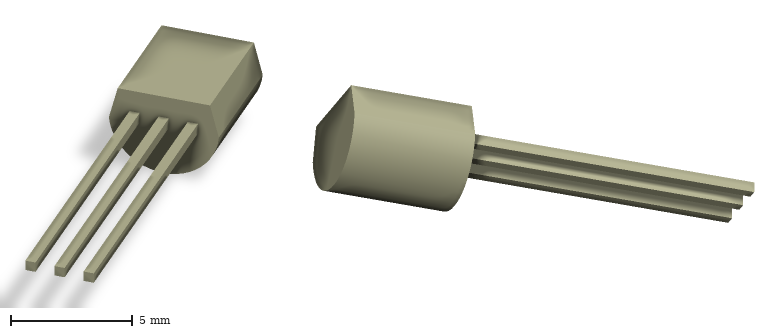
import cadquery as cq

total_length = 18.03
body_length = 5.34
body_width = 4.83
body_height = 3.68

flat_width = 4.05
slope_height = 1.48
arc_depth = body_height - slope_height

lead_count = 3
lead_side = 0.45
lead_pitch = 1.28
lead_top_below_flat = 1.0
lead_length = total_length - body_length


def make_body():
    """Moulded package; its lead face lies on Y = 0 and its widest level on Z = 0."""
    profile = (
        cq.Workplane("XZ")
        .moveTo(-flat_width / 2, slope_height)
        .lineTo(flat_width / 2, slope_height)
        .lineTo(body_width / 2, 0)
        .threePointArc((0, -arc_depth), (-body_width / 2, 0))
        .close()
    )
    return profile.extrude(-body_length)


def make_lead(x):
    """One straight square lead centred at x, running from the lead face toward -Y."""
    lead_z = slope_height - lead_top_below_flat - lead_side / 2
    return (
        cq.Workplane("XZ")
        .center(x, lead_z)
        .rect(lead_side, lead_side)
        .extrude(lead_length)
    )


body = make_body()

leads = []
for index in range(lead_count):
    lead_x = (index - (lead_count - 1) / 2) * lead_pitch
    leads.append(make_lead(lead_x))

result = cq.Compound.makeCompound([body.val(), *[lead.val() for lead in leads]])